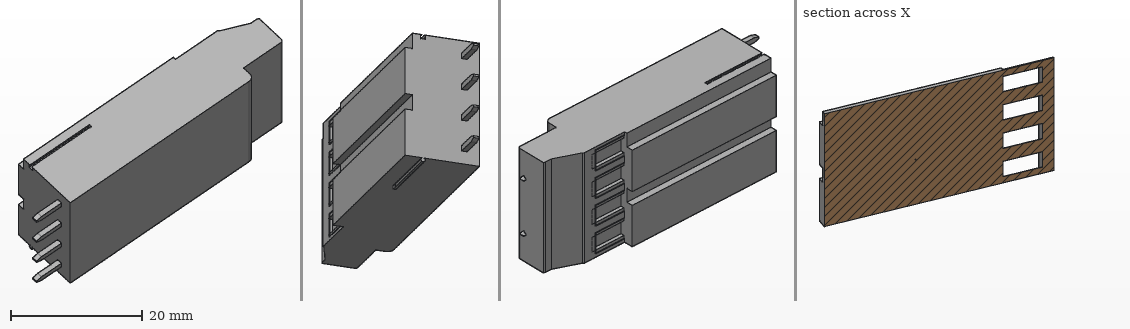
import cadquery as cq

pole_pitch = 5.08
pole_count = 4
poles_per_rail = 2
rail_count = pole_count // poles_per_rail
rail_pitch = poles_per_rail * pole_pitch
height = pole_count * pole_pitch

width = 12.2
rail_step_x = 1.7
rail_length = 30.0
shoulder_y = 36.8
shoulder_radius = 1.0
nose_left_x = 3.9
nose_right_x = 9.7
back_y = 44.75
nose_radius = 0.4
nose_bevel_x = 0.1
nose_bevel_y = 0.3
slope_bottom_y = 38.4
slope_top_y = 43.2
slope_chamfer = 0.2

notch_depth = 1.2
notch_height = pole_pitch / 2

window_end_y = 36.0
window_height = 3.8
window_depth = 0.15
slot_height = 2.7
slot_depth = 0.8
slot_undercut = 0.6

pin_x = nose_right_x
pin_size = 0.9
pin_length = 5.0
pin_taper = 1.0
pin_tip_height = 0.3
pin_embed = 1.0

lock_x = 2.95
lock_length = 11.9
lock_neck_width = 0.45
lock_head_width = 0.8
rib_height = 0.6
rib_lead_in = 1.0
rib_widest_depth = rib_height / 2
groove_depth = 0.7
groove_flare_depth = 0.3

bump_x = 8.4
bump_radius = 0.55


def round_vertical_edge(body, x, y, radius):
    edge = cq.selectors.NearestToPointSelector((x, y, height / 2))
    return body.edges(edge).fillet(radius)


def housing():
    body = (
        cq.Workplane("XY")
        .moveTo(0, 0)
        .lineTo(width, 0)
        .lineTo(width, shoulder_y)
        .lineTo(nose_right_x, shoulder_y)
        .lineTo(nose_right_x, back_y)
        .lineTo(nose_left_x + nose_bevel_x, back_y)
        .lineTo(nose_left_x, back_y - nose_bevel_y)
        .lineTo(nose_left_x, slope_top_y)
        .lineTo(rail_step_x + slope_chamfer, slope_bottom_y + slope_chamfer)
        .lineTo(rail_step_x, slope_bottom_y)
        .lineTo(rail_step_x, rail_length)
        .lineTo(0, rail_length)
        .close()
        .extrude(height)
    )
    body = round_vertical_edge(body, width, shoulder_y, shoulder_radius)
    body = round_vertical_edge(body, nose_right_x, back_y, nose_radius)
    return body


def block(x_range, y_range, z_range):
    size = [end - start for start, end in (x_range, y_range, z_range)]
    return cq.Workplane("XY").box(*size, centered=False).translate((x_range[0], y_range[0], z_range[0]))


def rail_notch(rail):
    top = (rail + 1) * rail_pitch
    return block((0, notch_depth), (0, rail_length), (top - notch_height, top))


def marker_window(z):
    def recess(depth, recess_height, end_y):
        half = recess_height / 2
        return block((rail_step_x, rail_step_x + depth), (rail_length, end_y), (z - half, z + half))

    window = recess(window_depth, window_height, window_end_y)
    slot = recess(slot_depth, slot_height, window_end_y)
    undercut = block(
        (rail_step_x + window_depth, rail_step_x + slot_depth),
        (window_end_y, window_end_y + slot_undercut),
        (z - slot_height / 2, z + slot_height / 2),
    )
    return window.union(slot).union(undercut)


def pin(z):
    half = pin_size / 2
    tip = pin_tip_height / 2
    taper_y = pin_taper - pin_length
    return (
        cq.Workplane("YZ", origin=(pin_x - half, 0, z))
        .moveTo(pin_embed, -half)
        .lineTo(pin_embed, half)
        .lineTo(taper_y, half)
        .lineTo(-pin_length, tip)
        .lineTo(-pin_length, -tip)
        .lineTo(taper_y, -half)
        .close()
        .extrude(pin_size)
    )


def lock_bar(half_profile, top, start_y, end_y):
    """Bar along Y whose symmetric section is given by (half width, depth below top) points."""
    right = [(x, -depth) for x, depth in half_profile]
    left = [(-x, -depth) for x, depth in reversed(half_profile)]
    section = cq.Workplane("XZ", origin=(lock_x, start_y, top)).polyline(right + left).close()
    return section.extrude(start_y - end_y)


def locking_rib():
    neck = lock_neck_width / 2
    head_profile = [(neck, 0), (lock_head_width / 2, rib_widest_depth), (neck, rib_height)]
    lead_in_profile = [(neck, 0), (neck, rib_height)]
    head_end = lock_length - rib_lead_in
    head = lock_bar(head_profile, 0, 0, head_end)
    return head.union(lock_bar(lead_in_profile, 0, head_end, lock_length))


def locking_groove():
    head = lock_head_width / 2
    profile = [(lock_neck_width / 2, 0), (head, groove_flare_depth), (head, groove_depth)]
    return lock_bar(profile, height, 0, lock_length)


def detent_bump(z):
    return (
        cq.Workplane("XZ", origin=(bump_x, back_y, z))
        .polyline([(0, -bump_radius), (bump_radius, 0), (0, bump_radius)])
        .close()
        .revolve(360, (0, 0, 0), (0, 1, 0))
    )


result = housing()
for rail in range(rail_count):
    result = result.cut(rail_notch(rail))
    result = result.union(detent_bump((rail + 0.5) * rail_pitch))
for pole in range(pole_count):
    pole_z = (pole + 0.5) * pole_pitch
    result = result.cut(marker_window(pole_z))
    result = result.union(pin(pole_z))
result = result.cut(locking_groove()).union(locking_rib())